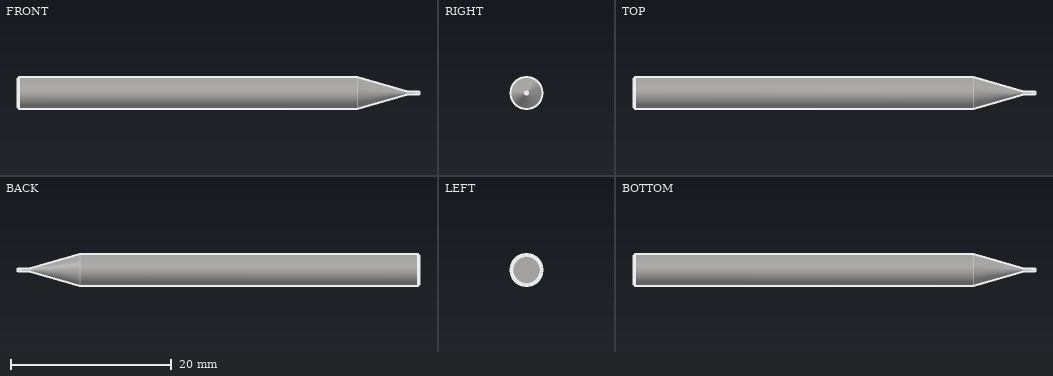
import cadquery as cq

overall_length = 50.0
shank_length = 42.25
neck_start = 48.5
head_start = 49.55

shank_diameter = 4.0
neck_diameter = 0.4
head_diameter = neck_diameter
rear_chamfer = 0.25
nose_radius = 0.15

shank_radius = shank_diameter / 2
neck_radius = neck_diameter / 2
head_radius = head_diameter / 2


def make_holder():
    """Chamfered shank, tapered shoulder and slender neck, turned about X."""
    half_profile = (
        cq.Workplane("XY")
        .lineTo(0, shank_radius - rear_chamfer)
        .lineTo(rear_chamfer, shank_radius)
        .lineTo(shank_length, shank_radius)
        .lineTo(neck_start, neck_radius)
        .lineTo(head_start, neck_radius)
        .lineTo(head_start, 0)
        .close()
    )
    return half_profile.revolve(360, (0, 0, 0), (1, 0, 0))


def make_cutting_head():
    """Small round head on the end of the neck, with a rounded nose edge."""
    head = (
        cq.Workplane("YZ", origin=(head_start, 0, 0))
        .circle(head_radius)
        .extrude(overall_length - head_start)
    )
    return head.faces(">X").edges().fillet(nose_radius)


holder = make_holder()
cutting_head = make_cutting_head()

result = cq.Compound.makeCompound([holder.val(), cutting_head.val()])